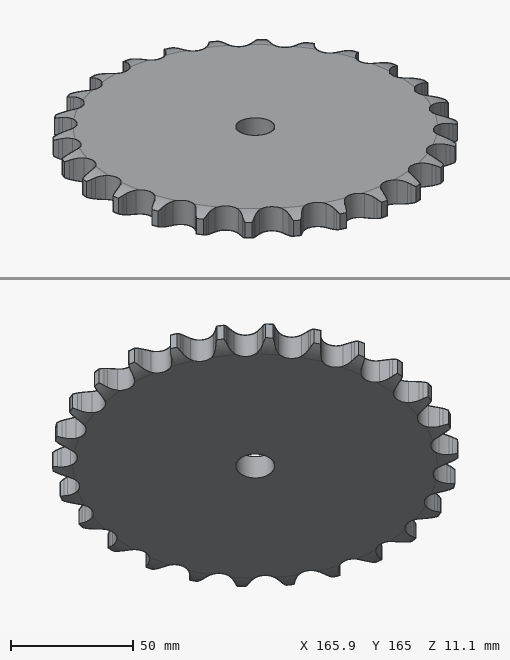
import cadquery as cq
import math

tooth_count = 26
outer_diameter = 165.9
pitch_diameter = 158.1
roller_diameter = 12.1
thickness = 11.1
bore_diameter = 16.0
rim_start_radius = 74.5

outer_radius = outer_diameter / 2
pitch_radius = pitch_diameter / 2
half_thickness = thickness / 2
half_pitch_angle = math.pi / tooth_count
chain_pitch = pitch_diameter * math.sin(half_pitch_angle)
rim_curve_radius = chain_pitch

seat_radius = 0.5025 * roller_diameter
seat_angle = math.radians(35 + 60 / tooth_count)
working_angle = math.radians(18 - 56 / tooth_count)
working_centre_offset = 0.8 * roller_diameter
working_radius = working_centre_offset + seat_radius
topping_centre_offset = 1.4 * roller_diameter


def polar(centre, radius, angle):
    """Point at a given distance and direction from a centre."""
    return (centre[0] + radius * math.cos(angle), centre[1] + radius * math.sin(angle))


def direction(centre, point):
    """Angle at which a point is seen from a centre."""
    return math.atan2(point[1] - centre[1], point[0] - centre[0])


def flank_points():
    """One side of a tooth gap, from its root to the tooth tip.

    The gap opens along +Y and its roller sits at the origin. The points run along the
    seat arc, working arc, straight flank and topping arc, in order.
    """
    roller = (0.0, 0.0)
    seat_end_direction = seat_angle - math.pi
    flank_direction = seat_end_direction - working_angle
    root = (0.0, -seat_radius)
    seat_end = polar(roller, seat_radius, seat_end_direction)

    working_centre = polar(roller, working_centre_offset, seat_angle)
    working_middle = polar(working_centre, working_radius, seat_end_direction - working_angle / 2)
    working_end = polar(working_centre, working_radius, flank_direction)

    topping_centre = polar(roller, topping_centre_offset, half_pitch_angle - math.pi)
    topping_start_direction = flank_direction + math.pi
    to_centre_x = topping_centre[0] - working_end[0]
    to_centre_y = topping_centre[1] - working_end[1]
    topping_radius = -(
        to_centre_x * math.cos(topping_start_direction)
        + to_centre_y * math.sin(topping_start_direction)
    )
    topping_start = polar(topping_centre, topping_radius, topping_start_direction)

    sprocket_centre = (0.0, -pitch_radius)
    centre_distance = math.dist(sprocket_centre, topping_centre)
    crossing_cosine = (centre_distance**2 + topping_radius**2 - outer_radius**2) / (
        2 * centre_distance * topping_radius
    )
    tip_direction = direction(topping_centre, sprocket_centre) + math.acos(crossing_cosine)
    topping_middle = polar(
        topping_centre, topping_radius, (topping_start_direction + tip_direction) / 2
    )
    tip = polar(topping_centre, topping_radius, tip_direction)
    return [
        root,
        seat_end,
        working_middle,
        working_end,
        topping_start,
        topping_middle,
        tip,
    ]


def place(point, gap_angle):
    """Move a point of the gap frame to the gap at the given angle round the sprocket."""
    radius = math.hypot(point[0], point[1] + pitch_radius)
    angle = math.atan2(-point[0], point[1] + pitch_radius)
    return polar((0.0, 0.0), radius, gap_angle + angle)


def tooth_outline():
    """Closed outline, running anticlockwise gap by gap from the tip of the +X tooth."""
    leaving = flank_points()
    entering = [(-x, y) for x, y in reversed(leaving)]
    outline = cq.Workplane("XY", origin=(0, 0, -half_thickness))
    outline = outline.moveTo(*place(entering[0], half_pitch_angle))
    for gap in range(tooth_count):
        gap_angle = (2 * gap + 1) * half_pitch_angle
        tip, top_middle, top_start, work_end, work_middle, seat_end, root = [
            place(point, gap_angle) for point in entering
        ]
        outline = outline.threePointArc(top_middle, top_start)
        outline = outline.lineTo(*work_end)
        outline = outline.threePointArc(work_middle, seat_end)

        root, seat_end, work_middle, work_end, top_start, top_middle, tip = [
            place(point, gap_angle) for point in leaving
        ]
        outline = outline.threePointArc(root, seat_end)
        outline = outline.threePointArc(work_middle, work_end)
        outline = outline.lineTo(*top_start)
        outline = outline.threePointArc(top_middle, tip)

        tooth_middle = polar((0.0, 0.0), outer_radius, gap_angle + half_pitch_angle)
        next_tip = place(entering[0], gap_angle + 2 * half_pitch_angle)
        outline = outline.threePointArc(tooth_middle, next_tip)
    return outline.close()


def rounded_blank():
    """Bored disc whose rim curves down on both faces, tangent to the flats."""
    rim_width = outer_radius - rim_start_radius

    def rim_height(distance):
        drop = rim_curve_radius - math.sqrt(rim_curve_radius**2 - distance**2)
        return half_thickness - drop

    middle_radius = rim_start_radius + rim_width / 2
    middle_height = rim_height(rim_width / 2)
    edge_height = rim_height(rim_width)
    bore_radius = bore_diameter / 2
    return (
        cq.Workplane("XZ")
        .moveTo(bore_radius, -half_thickness)
        .lineTo(rim_start_radius, -half_thickness)
        .threePointArc((middle_radius, -middle_height), (outer_radius, -edge_height))
        .lineTo(outer_radius, edge_height)
        .threePointArc((middle_radius, middle_height), (rim_start_radius, half_thickness))
        .lineTo(bore_radius, half_thickness)
        .close()
        .revolve(360, (0, 0, 0), (0, 1, 0))
    )


toothed_plate = tooth_outline().extrude(thickness)
result = toothed_plate.intersect(rounded_blank())